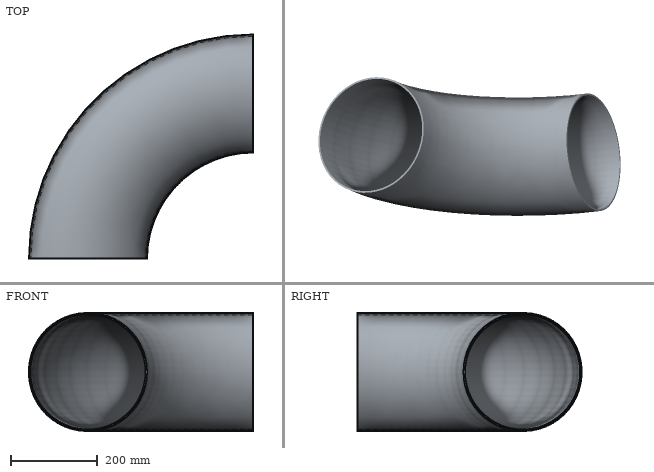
import cadquery as cq

outer_diameter = 273.0
wall_thickness = 4.0
bend_radius = 381.0
bend_angle = 90.0

inner_diameter = outer_diameter - 2 * wall_thickness


def tube_section():
    """Ring-shaped tube section on the XZ plane, centred on the origin."""
    return cq.Workplane("XZ").circle(outer_diameter / 2).circle(inner_diameter / 2)


def elbow():
    """Turn the section about a vertical axis, from the -Y opening to the +X opening."""
    axis_start = (bend_radius, 0)
    axis_end = (bend_radius, -1)
    return tube_section().revolve(bend_angle, axis_start, axis_end)


result = elbow()